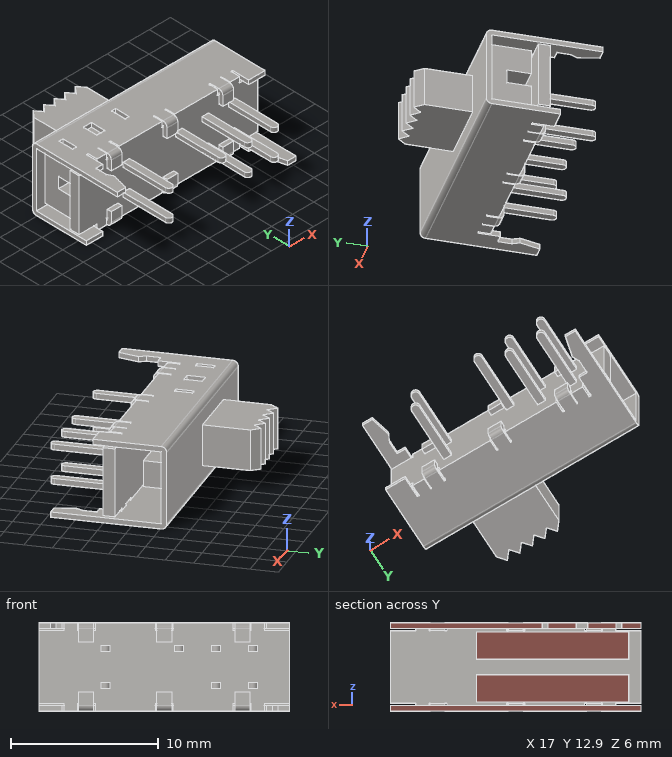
import cadquery as cq


TOTAL_DEPTH = 12.9

CASE_LENGTH = 17.0
CASE_HEIGHT = 6.0
CASE_DEPTH = 4.5
SHEET = 0.39
HALF_LENGTH = CASE_LENGTH / 2
HALF_HEIGHT = CASE_HEIGHT / 2
INNER_HEIGHT = CASE_HEIGHT - 2 * SHEET

BOARD_BACK = 3.65
BOARD_HEIGHT = 4.93

FOOT_WIDTH = 1.56
FOOT_GAP = 0.15
STUB_DEPTH = 5.22
LEG_WIDTH = 0.92
LEG_TIP_WIDTH = 0.8
LEG_DEPTH = 8.21
BARB_WIDTH = 1.17
BARB_START = 6.2
BARB_PEAK = 6.72

TAB_WIDTH = 1.02
TAB_OFFSET = 5.3
TAB_REACH = 1.3
TAB_OPENING_WIDTH = 1.19
TAB_OPENING_OFFSET = 5.27

WINDOW_SPACING = 2.5
WINDOW_CENTRE = -4.49
WINDOW_BACK = 1.24
WINDOW_LENGTH = 1.3
SIDE_WINDOW_WIDTH = 0.37
MIDDLE_WINDOW_WIDTH = 0.76

SLIDER_X = -2.5
SLIDER_LENGTH = 10.34
SLIDER_HEIGHT = 4.78
SLIDER_FRONT = 3.38
SLOT_BACK = 1.67
SLOT_HEIGHT = 1.02

HANDLE_WIDTH = 5.0
HANDLE_HEIGHT = 2.95
HANDLE_REACH = 4.0
TOOTH_COUNT = 5
TOOTH_HEIGHT = 0.61

PIN_WIDTH = 0.61
PIN_THICKNESS = 0.42
PIN_TIP = TOTAL_DEPTH - HANDLE_REACH
PIN_PITCH = 2.5
PIN_CENTRE_X = 1.0
UPPER_PIN_STEPS = (-2, 0, 1, 2)
LOWER_PIN_STEPS = (-2, 1, 2)


def block(x_min, x_max, y_min, y_max, height, z=0.0):
    """Box between X and Y limits, centred at height z."""
    size = (x_max - x_min, y_max - y_min, height)
    centre = ((x_min + x_max) / 2, (y_min + y_max) / 2, z)
    return cq.Workplane("XY").box(*size).translate(centre)


def bar(x, width, y_min, y_max, height, z=0.0):
    """Box centred at X and Z."""
    return block(x - width / 2, x + width / 2, y_min, y_max, height, z)


def turned(body):
    """Half turn about Y: swaps the ends and the upper and lower walls."""
    return body.rotate((0, 0, 0), (0, 1, 0), 180)


def make_channel():
    """Folded sheet with rounded outer bends along the back."""
    outer = block(-HALF_LENGTH, HALF_LENGTH, -CASE_DEPTH, 0, CASE_HEIGHT)
    outer = outer.edges("|X and >Y").fillet(SHEET)
    return outer.cut(block(-HALF_LENGTH, HALF_LENGTH, -CASE_DEPTH, -SHEET, INNER_HEIGHT))


def make_board():
    """Terminal board filling the case height, before its edges are notched."""
    return block(-HALF_LENGTH, HALF_LENGTH, -CASE_DEPTH, -BOARD_BACK, INNER_HEIGHT)


def make_edge_notches():
    """Clearance above and below the board at both ends and around each tab."""
    inner_end = HALF_LENGTH - FOOT_WIDTH - FOOT_GAP
    notches = block(-HALF_LENGTH, -inner_end, -CASE_DEPTH, -BOARD_BACK, CASE_HEIGHT)
    notches = notches.union(block(inner_end, HALF_LENGTH, -CASE_DEPTH, -BOARD_BACK, CASE_HEIGHT))
    for side in (-1, 0, 1):
        x = side * TAB_OPENING_OFFSET
        notches = notches.union(bar(x, TAB_OPENING_WIDTH, -CASE_DEPTH, -BOARD_BACK, CASE_HEIGHT))
    return notches.cut(block(-HALF_LENGTH, HALF_LENGTH, -CASE_DEPTH, -BOARD_BACK, BOARD_HEIGHT))


def make_wall_part(points):
    """Flat piece of the upper case wall with the given XY outline."""
    return cq.Workplane("XY", origin=(0, 0, HALF_HEIGHT - SHEET)).polyline(points).close().extrude(SHEET)


def make_snap_leg():
    """Barbed leg at the -X end of the upper wall."""
    end = -HALF_LENGTH
    return make_wall_part([
        (end, -BOARD_BACK),
        (end + FOOT_WIDTH, -BOARD_BACK),
        (end + FOOT_WIDTH, -STUB_DEPTH),
        (end + LEG_WIDTH, -STUB_DEPTH),
        (end + LEG_WIDTH, -BARB_START),
        (end + BARB_WIDTH, -BARB_PEAK),
        (end + LEG_TIP_WIDTH, -LEG_DEPTH),
        (end, -LEG_DEPTH),
    ])


def make_stub():
    """Short foot at the +X end of the upper wall."""
    z = HALF_HEIGHT - SHEET / 2
    return block(HALF_LENGTH - FOOT_WIDTH, HALF_LENGTH, -STUB_DEPTH, -BOARD_BACK, SHEET, z)


def make_tab(x):
    """Upper-wall tab bent down over the board face, round on the outside."""
    fold_front = CASE_DEPTH + SHEET
    wall = bar(x, TAB_WIDTH, -fold_front, -BOARD_BACK, SHEET, HALF_HEIGHT - SHEET / 2)
    flap = bar(x, TAB_WIDTH, -fold_front, -CASE_DEPTH, TAB_REACH, HALF_HEIGHT - TAB_REACH / 2)
    return wall.union(flap).edges("|X and >Z and <Y").fillet(SHEET)


def make_upper_wall_details():
    """Feet and tabs of the upper wall."""
    details = make_snap_leg().union(make_stub())
    for side in (-1, 0, 1):
        details = details.union(make_tab(side * TAB_OFFSET))
    return details


def make_windows():
    """Three rectangular openings through the upper wall."""
    windows = cq.Workplane("XY")
    for step in (-1, 0, 1):
        width = SIDE_WINDOW_WIDTH if step else MIDDLE_WINDOW_WIDTH
        x = WINDOW_CENTRE + step * WINDOW_SPACING
        front = -WINDOW_BACK - WINDOW_LENGTH
        windows = windows.union(bar(x, width, front, -WINDOW_BACK, SHEET, HALF_HEIGHT - SHEET / 2))
    return windows


def make_slider():
    """Slider block with a slot along its front face."""
    body = bar(SLIDER_X, SLIDER_LENGTH, -SLIDER_FRONT, -SHEET, SLIDER_HEIGHT)
    return body.cut(bar(SLIDER_X, SLIDER_LENGTH, -SLIDER_FRONT, -SLOT_BACK, SLOT_HEIGHT))


def make_handle():
    """Handle with a row of V-shaped grip teeth across its end."""
    left = SLIDER_X - HANDLE_WIDTH / 2
    pitch = HANDLE_WIDTH / TOOTH_COUNT
    valley = HANDLE_REACH - TOOTH_HEIGHT
    points = [(left + HANDLE_WIDTH, -SHEET), (left, -SHEET), (left, valley)]
    for tooth in range(TOOTH_COUNT):
        points.append((left + (tooth + 0.5) * pitch, HANDLE_REACH))
        points.append((left + (tooth + 1) * pitch, valley))
    return cq.Workplane("XY").polyline(points).close().extrude(HANDLE_HEIGHT / 2, both=True)


def make_pin(step, z):
    """Flat terminal pin with a round tip, rooted in the board."""
    x = PIN_CENTRE_X + step * PIN_PITCH
    arc_start = PIN_WIDTH / 2 - PIN_TIP
    outline = (
        cq.Workplane("XY", origin=(x, 0, z - PIN_THICKNESS / 2))
        .moveTo(-PIN_WIDTH / 2, -BOARD_BACK)
        .lineTo(-PIN_WIDTH / 2, arc_start)
        .threePointArc((0, -PIN_TIP), (PIN_WIDTH / 2, arc_start))
        .lineTo(PIN_WIDTH / 2, -BOARD_BACK)
        .close()
    )
    return outline.extrude(PIN_THICKNESS)


upper_details = make_upper_wall_details()
result = make_channel().union(make_board()).cut(make_edge_notches())
result = result.union(upper_details).union(turned(upper_details))
result = result.cut(make_windows())
result = result.union(make_slider()).union(make_handle())
for pin_step in UPPER_PIN_STEPS:
    result = result.union(make_pin(pin_step, PIN_PITCH / 2))
for pin_step in LOWER_PIN_STEPS:
    result = result.union(make_pin(pin_step, -PIN_PITCH / 2))